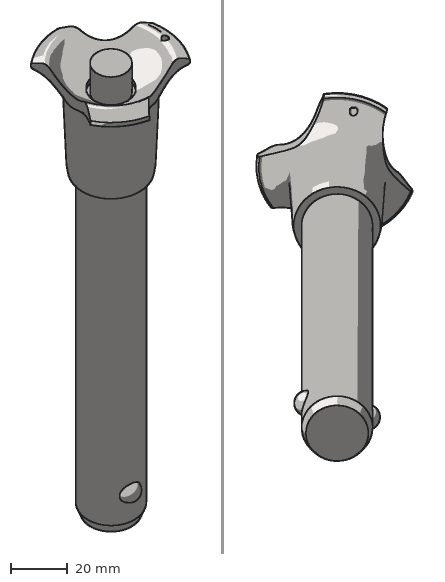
import cadquery as cq
import math


total_length = 212.7
handle_length = 50.7
top_z = total_length
grip_bottom_z = top_z - handle_length

shaft_radius = 12.5
tip_radius = 11.0
tip_length = 4.3

ball_radius = 4.5
ball_reach = 15.5
ball_height = 18.0

grip_top_radius = 16.95
grip_low_radius = 15.8
grip_end_radius = 15.3
grip_top_z = top_z - 15.0
grip_low_z = top_z - 47.0

flange_radius = 28.5
rim_upper_radius = 28.2
rim_lower_radius = 27.6
rim_round_radius = 28.2
rim_upper_z = top_z - 2.8
rim_lower_z = top_z - 4.0
rim_round_z = top_z - 4.8
flange_bottom_z = top_z - 5.3
flare_radius = flange_bottom_z - grip_top_z

lip_outer_radius = 24.2
lip_outer_z = top_z - 0.2
lip_crest_radius = 23.27
bowl_rim_radius = 21.4
bowl_rim_z = top_z - 1.0
bowl_middle_radius = 18.2
bowl_middle_z = top_z - 4.8
bowl_floor_z = top_z - 12.0

button_radius = 7.4
clearance_radius = 8.8
clearance_depth = 2.0

scallop_closest = 17.8
side_scallop_radius = 30.0
front_scallop_radius = 48.5
side_scallop_angles = (30, 150)
front_scallop_angle = 270
cutter_overshoot = 1.0
cutter_height = top_z - grip_top_z + cutter_overshoot

lanyard_hole_radius = 1.4
lanyard_hole_y = 23.2


def make_shaft():
    return (
        cq.Workplane("XZ")
        .lineTo(tip_radius, 0)
        .lineTo(shaft_radius, tip_length)
        .lineTo(shaft_radius, grip_bottom_z)
        .lineTo(0, grip_bottom_z)
        .close()
        .revolve(360, (0, 0, 0), (0, 1, 0))
    )


def make_handle():
    """Grip, flare and bowl with the button standing in the middle."""
    flare_end_radius = grip_top_radius + flare_radius
    flare_inset = flare_radius * (1 - math.sqrt(0.5))
    flare_middle = (grip_top_radius + flare_inset, flange_bottom_z - flare_inset)
    clearance_floor_z = bowl_floor_z - clearance_depth
    return (
        cq.Workplane("XZ")
        .moveTo(0, grip_bottom_z)
        .lineTo(grip_end_radius, grip_bottom_z)
        .lineTo(grip_low_radius, grip_low_z)
        .lineTo(grip_top_radius, grip_top_z)
        .threePointArc(flare_middle, (flare_end_radius, flange_bottom_z))
        .lineTo(rim_lower_radius, flange_bottom_z)
        .threePointArc((rim_round_radius, rim_round_z), (flange_radius, rim_lower_z))
        .lineTo(rim_upper_radius, rim_upper_z)
        .lineTo(lip_outer_radius, lip_outer_z)
        .threePointArc((lip_crest_radius, top_z), (bowl_rim_radius, bowl_rim_z))
        .threePointArc((bowl_middle_radius, bowl_middle_z), (clearance_radius, bowl_floor_z))
        .lineTo(clearance_radius, clearance_floor_z)
        .lineTo(button_radius, clearance_floor_z)
        .lineTo(button_radius, top_z)
        .lineTo(0, top_z)
        .close()
        .revolve(360, (0, 0, 0), (0, 1, 0))
    )


def make_scallop(radius, angle):
    """Upright cylinder whose nearest side is scallop_closest from the axis."""
    distance = scallop_closest + radius
    direction = math.radians(angle)
    return (
        cq.Workplane("XY", origin=(0, 0, grip_top_z))
        .center(distance * math.cos(direction), distance * math.sin(direction))
        .circle(radius)
        .extrude(cutter_height)
    )


def make_lanyard_hole():
    return (
        cq.Workplane("XY", origin=(0, lanyard_hole_y, grip_top_z))
        .circle(lanyard_hole_radius)
        .extrude(cutter_height)
    )


def make_ball(side):
    center_x = side * (ball_reach - ball_radius)
    return cq.Workplane("XY", origin=(center_x, 0, ball_height)).sphere(ball_radius)


handle = make_handle()
for scallop_angle in side_scallop_angles:
    handle = handle.cut(make_scallop(side_scallop_radius, scallop_angle))
handle = handle.cut(make_scallop(front_scallop_radius, front_scallop_angle))
handle = handle.cut(make_lanyard_hole())

result = make_shaft().union(handle)
for ball_side in (-1, 1):
    result = result.union(make_ball(ball_side))